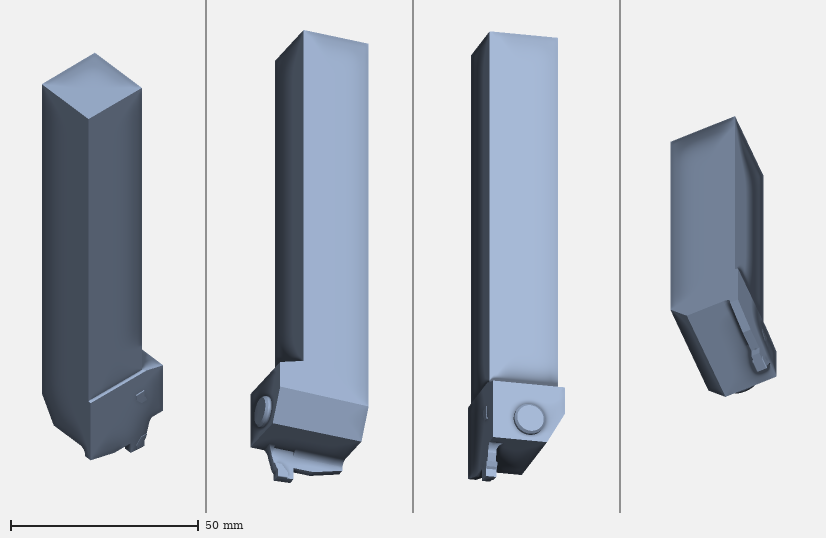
import cadquery as cq
import math


tool_length = 127.0
shank_width = 19.05
shank_height = 19.05
head_width = 19.9
head_height = 25.9
head_bottom = 8.65
shoulder_start = 26.6
shoulder_angle = 15.0
side_taper = 0.2
corner_width = 5.0
corner_angle = 30.0

blade_thickness = 2.3
blade_bottom = 3.75
fillet_radius = 2.0
fillet_drop = 1.5
blade_slope_end = 8.5
blade_slope_angle = 15.0
jaw_tip = 5.0
jaw_root_height = 21.9

jaw_bend = (20.65, 6.2)
jaw_curve_middle = (21.1, 7.7)

screw_diameter = 8.5
screw_top = 27.45
screw_chamfer = 0.6
screw_x = 10.0
screw_z = 14.5

insert_bottom = 14.3
insert_top = 20.3
insert_length = 20.0
edge_height = shank_height
edge_relief_angle = 4.0
edge_width = 3.0
edge_overhang = 0.19
edge_corner_radius = 0.3

rake_length = 2.1

throat = (19.5, 2.7)
throat_top = (20.0, 4.0)
cheek_top = (18.0, 4.0)
cheek_back = (16.2, 1.9)

blade_left = head_width - blade_thickness


def relief_z(y):
    """Level of the insert's end face, which falls back from the cutting edge."""
    return (edge_height - y) * math.tan(math.radians(edge_relief_angle))


def extrude_across(sketch_points, x_start, x_end):
    """Prism from a (Y, Z) polygon, running along X."""
    return (cq.Workplane("YZ").workplane(offset=x_start)
            .polyline(sketch_points).close().extrude(x_end - x_start))


def front_prism():
    """Outline across the tool: shank, wider head, cut corner and filleted blade."""
    corner_length = corner_width / math.tan(math.radians(corner_angle))
    step_drop = (head_width - shank_width) * math.tan(math.radians(shoulder_angle))
    fillet_sweep = math.acos(1 - fillet_drop / fillet_radius)
    fillet_start = blade_left - fillet_radius * math.sin(fillet_sweep)
    fillet_middle = (fillet_start + fillet_radius * math.sin(fillet_sweep / 2),
                     head_bottom - fillet_radius * (1 - math.cos(fillet_sweep / 2)))
    return (cq.Workplane("XZ")
            .moveTo(0, tool_length)
            .lineTo(0, head_bottom + corner_length)
            .lineTo(corner_width, head_bottom)
            .lineTo(fillet_start, head_bottom)
            .threePointArc(fillet_middle, (blade_left, head_bottom - fillet_drop))
            .lineTo(blade_left, 0)
            .lineTo(head_width, 0)
            .lineTo(head_width, shoulder_start - step_drop)
            .lineTo(shank_width, shoulder_start)
            .lineTo(shank_width, tool_length)
            .close().extrude(-head_height))


def side_prism():
    """Outline along the tool: shank, raised head, jaw above and blade below the insert."""
    shoulder_drop = (head_height - shank_height) * math.tan(math.radians(shoulder_angle))
    blade_rise = blade_slope_end * math.tan(math.radians(blade_slope_angle))
    return (cq.Workplane("YZ")
            .moveTo(0, tool_length)
            .lineTo(shank_height, tool_length)
            .lineTo(shank_height, shoulder_start)
            .lineTo(head_height, shoulder_start - shoulder_drop)
            .lineTo(head_height, head_bottom)
            .lineTo(jaw_root_height, head_bottom)
            .threePointArc(jaw_curve_middle, jaw_bend)
            .lineTo(insert_top, jaw_tip)
            .lineTo(insert_top, head_bottom)
            .lineTo(insert_bottom, head_bottom)
            .lineTo(insert_bottom, blade_bottom)
            .lineTo(blade_slope_end, blade_bottom)
            .lineTo(0, blade_bottom + blade_rise)
            .close().extrude(head_width))


def side_taper_wedge():
    """Sliver that tilts the -X side face, thickest at Y = 0."""
    return (cq.Workplane("XY")
            .polyline([(0, 0), (side_taper, 0), (0, head_height)]).close()
            .extrude(tool_length))


def clamping_screw():
    """Round screw head standing on top of the holder head."""
    return (cq.Workplane("XZ", origin=(screw_x, head_height, screw_z))
            .circle(screw_diameter / 2).extrude(head_height - screw_top)
            .faces(">Y").chamfer(screw_chamfer))


def make_insert():
    """Insert body as thick as the blade, with a wider cutting head at each end."""
    mid_length = insert_length / 2
    edge_right = head_width + edge_overhang
    cheek_heel = (cheek_back[0], relief_z(cheek_back[0]))
    body = extrude_across(
        [throat_top, (insert_top, jaw_tip), (insert_top, mid_length), (insert_bottom, mid_length),
         (insert_bottom, relief_z(insert_bottom)), cheek_heel, cheek_back, cheek_top],
        blade_left, head_width)
    cutting_head = extrude_across(
        [(edge_height, 0), (edge_height, rake_length), throat, throat_top, cheek_top, cheek_back, cheek_heel],
        edge_right - edge_width, edge_right)
    cutting_head = cutting_head.faces("<Z").edges("#X").fillet(edge_corner_radius)
    lower_half = body.union(cutting_head)
    upper_half = lower_half.mirror("XY", (0, 0, mid_length))
    return lower_half.union(upper_half)


def make_holder(insert):
    """Shank and head with a pocket that matches the insert, plus the screw head."""
    body = front_prism().intersect(side_prism())
    body = body.cut(side_taper_wedge()).cut(insert)
    return body.union(clamping_screw())


insert = make_insert()
holder = make_holder(insert)

result = cq.Compound.makeCompound([holder.val(), insert.val()])